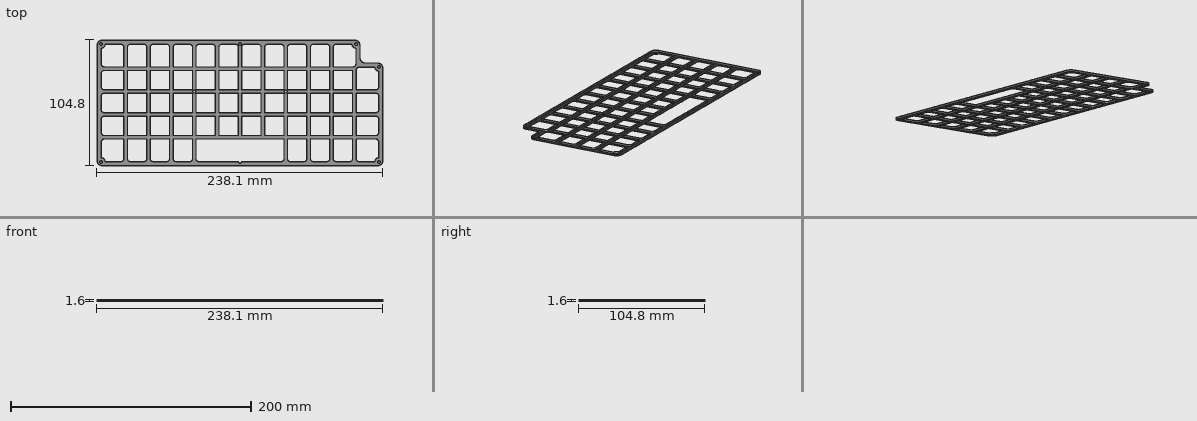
import cadquery as cq
key_pitch = 19.05
columns = 12
rows = 5
space_bar_columns = (4, 7)
space_bar_row = rows - 1

thickness = 1.6
edge_margin = key_pitch / 4
border_width = 3.6
bar_width = 3.15
outline_radius = 4.5
border_corner_radius = 2.3

hole_diameter = 2.2
hole_inset = 3.3
pad_radius = 3.6

width = columns * key_pitch + 2 * edge_margin
height = rows * key_pitch + 2 * edge_margin
right = width / 2
top = height / 2
step_x = right - key_pitch
step_y = top - key_pitch


def block(x_min, x_max, y_min, y_max):
    """Full-thickness rectangular block between the given limits."""
    center = ((x_min + x_max) / 2, (y_min + y_max) / 2)
    return cq.Workplane("XY").center(*center).rect(x_max - x_min, y_max - y_min).extrude(thickness)


def make_plate():
    """Rounded outline with the top-right key position notched away."""
    plate = block(-right, right, -top, top)
    plate = plate.cut(block(step_x, right, step_y, top))
    return plate.edges("|Z").fillet(outline_radius)


def is_key(row, column):
    """True where the plate carries a key: everywhere but the notch."""
    inside = 0 <= row < rows and 0 <= column < columns
    return inside and (row, column) != (0, columns - 1)


def make_opening(row, first_column, last_column):
    """Opening for one key, or for one wide key spanning several columns."""
    border_left = not is_key(row, first_column - 1)
    border_right = not is_key(row, last_column + 1)
    border_top = not is_key(row - 1, first_column)
    border_bottom = not is_key(row + 1, first_column)

    bar_inset = bar_width / 2
    border_inset = border_width - edge_margin

    def inset(on_border):
        """Distance from the key's grid line to the opening's side."""
        return border_inset if on_border else bar_inset

    grid_left = -columns * key_pitch / 2
    grid_top = rows * key_pitch / 2
    x_min = grid_left + first_column * key_pitch + inset(border_left)
    x_max = grid_left + (last_column + 1) * key_pitch - inset(border_right)
    y_max = grid_top - row * key_pitch - inset(border_top)
    y_min = grid_top - (row + 1) * key_pitch + inset(border_bottom)
    opening = block(x_min, x_max, y_min, y_max)

    corners = {
        "<X and <Y": border_left or border_bottom,
        "<X and >Y": border_left or border_top,
        ">X and <Y": border_right or border_bottom,
        ">X and >Y": border_right or border_top,
    }
    for corner, on_border in corners.items():
        if on_border:
            opening = opening.edges(f"|Z and {corner}").fillet(border_corner_radius)
    return opening


def make_openings():
    """All key openings, with a single wide one for the space bar."""
    space_first, space_last = space_bar_columns
    openings = [make_opening(space_bar_row, space_first, space_last)]
    for row in range(rows):
        for column in range(columns):
            under_space_bar = row == space_bar_row and space_first <= column <= space_last
            if is_key(row, column) and not under_space_bar:
                openings.append(make_opening(row, column, column))
    return openings


def cylinders(points, radius):
    """Full-thickness cylinders at the given centres."""
    return cq.Workplane("XY").pushPoints(points).circle(radius).extrude(thickness)


hole_x = right - hole_inset
hole_y = top - hole_inset
corner_holes = [
    (-hole_x, -hole_y),
    (hole_x, -hole_y),
    (-hole_x, hole_y),
    (step_x - hole_inset, hole_y),
    (hole_x, step_y - hole_inset),
]
edge_holes = [(0, hole_y), (0, -hole_y)]
crossing_x = 2 * key_pitch
crossing_y = key_pitch / 2
crossing_holes = [(-crossing_x, crossing_y), (crossing_x, crossing_y)]

pads = cylinders(corner_holes, pad_radius)
holes = cylinders(corner_holes + edge_holes + crossing_holes, hole_diameter / 2)

result = make_plate()
for opening in make_openings():
    result = result.cut(opening.cut(pads))
result = result.cut(holes)